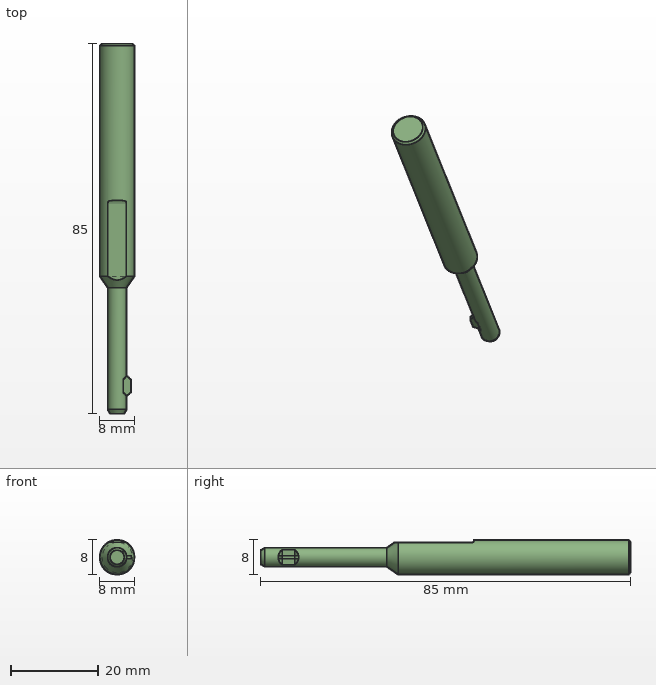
import cadquery as cq
import math

overall_length = 85.0
shank_diameter = 8.0
neck_diameter = 4.4
shank_radius = shank_diameter / 2
neck_radius = neck_diameter / 2

neck_length = 29.0
shoulder_half_angle = 35.0
tip_chamfer_length = 1.0
tip_chamfer_angle = 30.0
back_chamfer = 0.5

flat_height = 3.4
flat_end = 49.0
flat_fillet_radius = 0.5

ear_center = 6.4
ear_thickness = 0.8
ear_outer_reach = 1.0
ear_inner_reach = 0.8
ear_root_width = 4.7
ear_end_width = 2.9

tip_y = -overall_length / 2


def make_turned_body():
    """Solid of revolution: chamfered tip, neck, shoulder cone, chamfered shank."""
    shoulder_length = (shank_radius - neck_radius) / math.tan(math.radians(shoulder_half_angle))
    tip_radius = neck_radius - tip_chamfer_length * math.tan(math.radians(tip_chamfer_angle))
    back_y = tip_y + overall_length
    half_profile = [
        (0, tip_y),
        (tip_radius, tip_y),
        (neck_radius, tip_y + tip_chamfer_length),
        (neck_radius, tip_y + neck_length),
        (shank_radius, tip_y + neck_length + shoulder_length),
        (shank_radius, back_y - back_chamfer),
        (shank_radius - back_chamfer, back_y),
        (0, back_y),
    ]
    return cq.Workplane("XY").polyline(half_profile).close().revolve(360, (0, 0, 0), (0, 1, 0))


def make_flat_cutter():
    """Block above the clamping flat, with a rounded edge at the foot of its end wall."""
    block = cq.Workplane("XY").box(
        shank_diameter, flat_end - neck_length, shank_radius, centered=(True, False, False)
    )
    block = block.edges(">Y and <Z").fillet(flat_fillet_radius)
    return block.translate((0, tip_y + neck_length, flat_height))


def make_ear_prism(height):
    """Hexagonal prism about Z = 0, widest at the neck surface and narrowing inward and outward."""
    outline = [
        (-ear_inner_reach, -ear_end_width / 2),
        (0, -ear_root_width / 2),
        (ear_outer_reach, -ear_end_width / 2),
        (ear_outer_reach, ear_end_width / 2),
        (0, ear_root_width / 2),
        (-ear_inner_reach, ear_end_width / 2),
    ]
    prism = cq.Workplane("XY").polyline(outline).close().extrude(height / 2, both=True)
    return prism.translate((neck_radius, tip_y + ear_center, 0))


body = make_turned_body().cut(make_flat_cutter())
recessed_body = body.cut(make_ear_prism(neck_diameter))
result = recessed_body.union(make_ear_prism(ear_thickness))